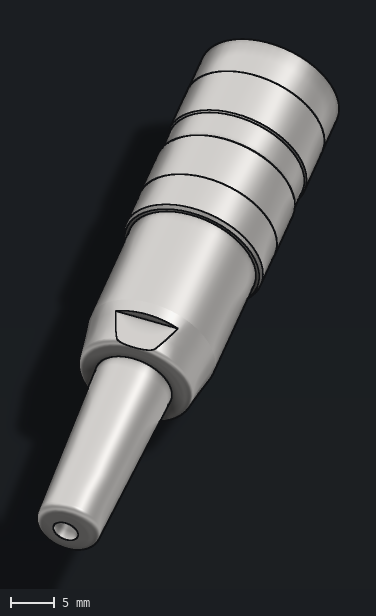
import cadquery as cq

length = 68.5

sleeve_diameter = 16.9
band_diameter = 17.0
groove_diameter = 16.6
sleeve_length = 26.1
band_length = 6.0
first_band_start = 5.0
groove_length = 3.9
groove_bevel = 0.2
sleeve_bevel_length = 0.5
sleeve_bevel_depth = 0.3

body_diameter = 15.55
body_end = 39.7
nose_end = 45.7
nose_tip_diameter = 13.55
nose_round = 0.95

flats_start = 41.25
flats_width = 13.0

cable_root_diameter = 9.3
cable_tip_diameter = 7.6
cable_round = 1.1
cable_hole_diameter = 3.0
cable_hole_depth = 6.85


def turned_section(start, end, start_diameter, end_diameter):
    """Solid of revolution about Y between two stations, straight or tapered."""
    return (
        cq.Workplane("XY")
        .moveTo(0, -start)
        .lineTo(start_diameter / 2, -start)
        .lineTo(end_diameter / 2, -end)
        .lineTo(0, -end)
        .close()
        .revolve(360, (0, 0, 0), (0, 1, 0))
    )


def make_coupling_ring():
    first_band_end = first_band_start + band_length
    second_band_start = first_band_end + groove_length
    second_band_end = second_band_start + band_length
    groove_floor_start = first_band_end + groove_bevel
    groove_floor_end = second_band_start - groove_bevel
    bevel_start = sleeve_length - sleeve_bevel_length
    bevel_diameter = sleeve_diameter - 2 * sleeve_bevel_depth
    sections = [
        (0, first_band_start, sleeve_diameter, sleeve_diameter),
        (first_band_start, first_band_end, band_diameter, band_diameter),
        (first_band_end, groove_floor_start, band_diameter, groove_diameter),
        (groove_floor_start, groove_floor_end, groove_diameter, groove_diameter),
        (groove_floor_end, second_band_start, groove_diameter, band_diameter),
        (second_band_start, second_band_end, band_diameter, band_diameter),
        (second_band_end, bevel_start, sleeve_diameter, sleeve_diameter),
        (bevel_start, sleeve_length, sleeve_diameter, bevel_diameter),
    ]
    ring = turned_section(*sections[0])
    for section in sections[1:]:
        ring = ring.union(turned_section(*section))
    return ring


def make_body():
    barrel = turned_section(sleeve_length, body_end, body_diameter, body_diameter)
    nose = turned_section(body_end, nose_end, body_diameter, nose_tip_diameter)
    nose = nose.faces("<Y").edges().fillet(nose_round)
    return barrel.union(nose.cut(make_flat_cutters()))


def make_flat_cutters():
    """Blocks above and below the nose that leave two parallel flats."""
    flats_length = nose_end - flats_start
    cutters = cq.Workplane("XY")
    for side in (1, -1):
        block = cq.Workplane("XY").box(body_diameter, flats_length, body_diameter)
        height = side * (flats_width + body_diameter) / 2
        cutters = cutters.add(block.translate((0, -(flats_start + nose_end) / 2, height)))
    return cutters.combine()


def make_cable_sleeve():
    sleeve = turned_section(nose_end, length, cable_root_diameter, cable_tip_diameter)
    sleeve = sleeve.faces("<Y").edges().fillet(cable_round)
    hole = turned_section(length - cable_hole_depth, length, cable_hole_diameter, cable_hole_diameter)
    return sleeve.cut(hole)


result = make_coupling_ring().union(make_body()).union(make_cable_sleeve())